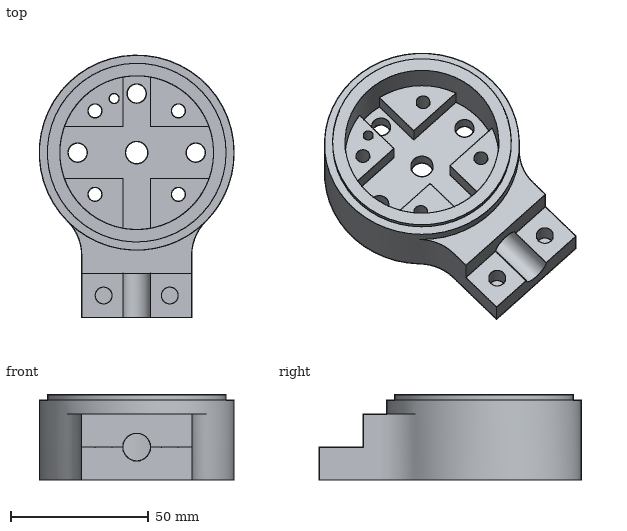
import cadquery as cq
import math

body_diameter = 71.0
lip_diameter = 65.0
cavity_diameter = 56.0
body_height = 29.1
total_height = 31.1
floor_thickness = 7.0

pad_top = 16.0
cross_width_x = 10.0
cross_width_y = 19.0

center_hole_diameter = 8.0
large_hole_diameter = 6.9
large_hole_radius = 21.5
pad_hole_diameter = 5.0
pad_hole_offset = 15.2
pin_hole_diameter = 3.5
pin_hole_position = (-8.2, 19.7)

total_length = 95.5
tail_width = 40.1
tail_height = 24.1
blend_radius = 17.5
shelf_length = 16.0
shelf_height = tail_height / 2
bore_diameter = 10.0
screw_hole_diameter = 6.1
screw_hole_spacing = 24.1
screw_hole_depth = 10.0

body_radius = body_diameter / 2
tail_half_width = tail_width / 2
tail_end_y = body_radius - total_length
shelf_back_y = tail_end_y + shelf_length
screw_hole_y = tail_end_y + shelf_length / 2


def cylinder(diameter, bottom, top):
    return cq.Workplane("XY").workplane(offset=bottom).circle(diameter / 2).extrude(top - bottom)


def hole_cutter(points, diameter, bottom, top):
    return (
        cq.Workplane("XY").workplane(offset=bottom)
        .pushPoints(points).circle(diameter / 2).extrude(top - bottom)
    )


def make_tail():
    blend_x = tail_half_width + blend_radius
    center_distance = body_radius + blend_radius
    blend_y = -math.sqrt(center_distance**2 - blend_x**2)
    touch_x = blend_x * body_radius / center_distance
    touch_y = blend_y * body_radius / center_distance

    mid_angle = (math.pi + math.atan2(-blend_y, -blend_x)) / 2
    mid_x = blend_x + blend_radius * math.cos(mid_angle)
    mid_y = blend_y + blend_radius * math.sin(mid_angle)

    outline = (
        cq.Workplane("XY")
        .moveTo(0, 0)
        .lineTo(touch_x, touch_y)
        .threePointArc((mid_x, mid_y), (tail_half_width, blend_y))
        .lineTo(tail_half_width, tail_end_y)
        .lineTo(-tail_half_width, tail_end_y)
        .lineTo(-tail_half_width, blend_y)
        .threePointArc((-mid_x, mid_y), (-touch_x, touch_y))
        .close()
    )
    tail = outline.extrude(tail_height)
    step = (
        cq.Workplane("XY").workplane(offset=shelf_height)
        .center(0, (tail_end_y + shelf_back_y) / 2)
        .rect(tail_width, shelf_length).extrude(tail_height - shelf_height)
    )
    return tail.cut(step)


def make_cavity():
    upper = cylinder(cavity_diameter, pad_top, total_height)
    lower = cylinder(cavity_diameter, floor_thickness, pad_top)
    cross = (
        cq.Workplane("XY").workplane(offset=floor_thickness)
        .rect(cross_width_x, cavity_diameter)
        .extrude(pad_top - floor_thickness)
        .union(
            cq.Workplane("XY").workplane(offset=floor_thickness)
            .rect(cavity_diameter, cross_width_y)
            .extrude(pad_top - floor_thickness)
        )
    )
    return upper.union(lower.intersect(cross))


def cut_floor_holes(part):
    large_points = [(-large_hole_radius, 0), (large_hole_radius, 0), (0, large_hole_radius)]
    pad_points = [(i * pad_hole_offset, j * pad_hole_offset) for i in (-1, 1) for j in (-1, 1)]
    groups = [
        ([(0, 0)], center_hole_diameter),
        (large_points, large_hole_diameter),
        (pad_points, pad_hole_diameter),
        ([pin_hole_position], pin_hole_diameter),
    ]
    for points, diameter in groups:
        part = part.cut(hole_cutter(points, diameter, 0, pad_top))
    return part


def cut_clamp(part):
    bore = (
        cq.Workplane("XZ", origin=(0, tail_end_y, shelf_height))
        .circle(bore_diameter / 2).extrude(tail_end_y)
    )
    screw_points = [(side * screw_hole_spacing / 2, screw_hole_y) for side in (-1, 1)]
    screws = hole_cutter(
        screw_points, screw_hole_diameter, shelf_height - screw_hole_depth, shelf_height
    )
    return part.cut(bore).cut(screws)


housing = cylinder(body_diameter, 0, body_height).union(cylinder(lip_diameter, 0, total_height))
part = housing.union(make_tail()).cut(make_cavity())
result = cut_clamp(cut_floor_holes(part))